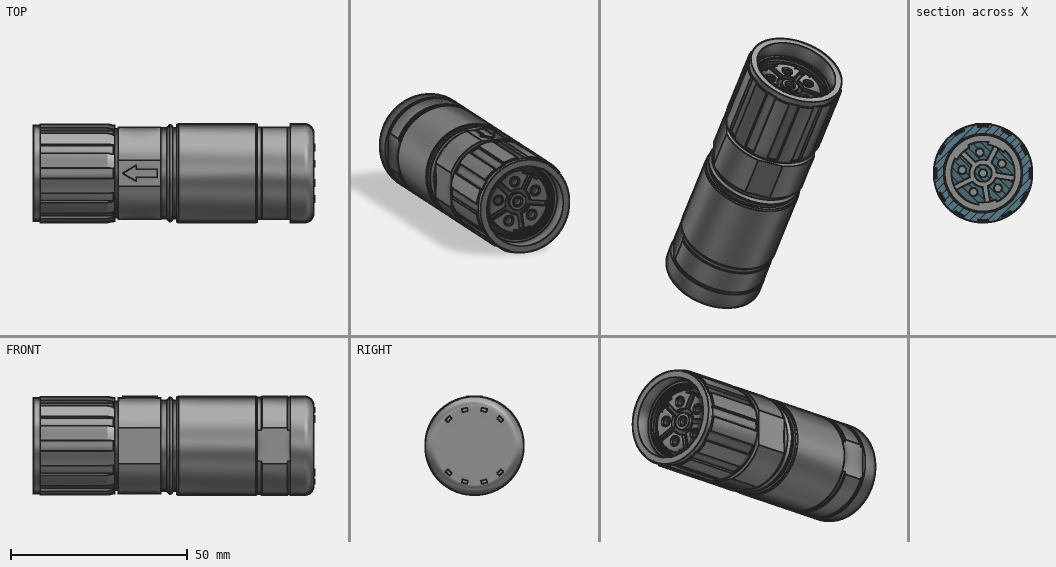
import cadquery as cq
import math

LENGTH = 79.5
BODY_RADIUS = 14.0

NUT_LENGTH = 23.05
NUT_COLLAR_LENGTH = 1.9
NUT_END_RADIUS = 13.5
NUT_TAPER_START = 21.0
GRIP_COUNT = 12
GRIP_FLOOR_RADIUS = 13.2
GRIP_FLOOR_WIDTH = 2.8
GRIP_MOUTH_WIDTH = 3.1
GRIP_END = 22.6
MOUTH_RADIUS = 11.6
MOUTH_DEPTH = 4.8
NUT_BORE_RADIUS = 10.8
THREAD_RADIUS = 11.3
THREAD_PITCH = 1.0
THREAD_START = MOUTH_DEPTH + THREAD_PITCH / 2
THREAD_COUNT = 5

INSERT_FACE = 5.6
INSERT_BASE = 6.8
INSERT_ROOT = 11.1
INSERT_RADIUS = 9.0
HUB_RADIUS = 3.8
BOSS_RADIUS = 2.5
POLE_COUNT = 5
POLE_STEP = 360 / POLE_COUNT
POLE_CIRCLE_RADIUS = 6.0
FIRST_POLE_ANGLE = 9.0
FIRST_SPOKE_ANGLE = FIRST_POLE_ANGLE + POLE_STEP / 2
SPOKE_WIDTH = 1.4
KEYED_SPOKES = (0, 1, 3)
KEY_RADIUS = 8.3
KEY_ANGLE = 34.0
SOCKET_RADIUS = 1.1
SOCKET_MOUTH_RADIUS = 1.5
SOCKET_DEPTH = 4.8

NECK_RADIUS = 12.65
WRENCH_START = 24.0
WRENCH_END = 36.0
SIDE_FLAT = 13.0
TOP_FLAT = 13.5
SEAL_LAND_RADIUS = 12.9
SEAL_X = 38.55
SEAL_HALF_WIDTH = 0.8
SLEEVE_START = 40.55
SLEEVE_END = 63.3
SLEEVE_CHAMFER_LENGTH = 0.5
SLEEVE_CHAMFER_DEPTH = 0.3
RELIEF_RADIUS = 13.75
REAR_WRENCH_START = 64.4
REAR_WRENCH_END = 71.95
CAP_START = 72.7
CAP_ROUND_RADIUS = 2.8
MARK_HEIGHT = 0.2
CAP_END = LENGTH - MARK_HEIGHT

ARROW_TIP = 25.3
ARROW_NECK = 29.0
ARROW_TAIL = 35.0
ARROW_HEAD_HALF = 2.2
ARROW_SHAFT_HALF = 1.1

MARK_CIRCLE_RADIUS = 10.5
MARK_ANGLES = (46.0, 75.0)
MARK_WIDTH = 1.6
MARK_RADIAL = 0.95


def cylinder(radius, start, end):
    """Cylinder on the X axis between two X positions."""
    return cq.Workplane("YZ", origin=(start, 0, 0)).circle(radius).extrude(end - start)


def ring(outer, inner, start, end):
    """Tube on the X axis between two X positions."""
    return cylinder(outer, start, end).cut(cylinder(inner, start, end))


def at_angle(shape, angle):
    """Turn a shape about the X axis, counting from +Y towards +Z."""
    return shape.rotate((0, 0, 0), (1, 0, 0), angle)


def revolved(profile):
    """Solid of revolution about X from an (x, radius) outline."""
    return profile.close().revolve(360, (0, 0, 0), (1, 0, 0))


def grip_groove():
    """Slant-sided groove on the +Y side; its floor follows a cylinder."""
    overrun = 0.8
    outside = BODY_RADIUS + overrun
    side_slope = (GRIP_MOUTH_WIDTH - GRIP_FLOOR_WIDTH) / 2 / (BODY_RADIUS - GRIP_FLOOR_RADIUS)
    floor_half = GRIP_FLOOR_WIDTH / 2
    inside = GRIP_FLOOR_RADIUS - overrun
    inside_half = floor_half - side_slope * overrun
    outside_half = floor_half + side_slope * (outside - GRIP_FLOOR_RADIUS)
    wedge = (
        cq.Workplane("YZ", origin=(NUT_COLLAR_LENGTH, 0, 0))
        .polyline(
            [
                (inside, -inside_half),
                (outside, -outside_half),
                (outside, outside_half),
                (inside, inside_half),
            ]
        )
        .close()
        .extrude(GRIP_END - NUT_COLLAR_LENGTH)
    )
    return wedge.cut(cylinder(GRIP_FLOOR_RADIUS, 0, NUT_LENGTH))


def thread_groove(start):
    """V-shaped ring groove in the nut bore, one pitch wide."""
    return revolved(
        cq.Workplane("XY")
        .moveTo(start, NUT_BORE_RADIUS)
        .lineTo(start + THREAD_PITCH / 2, THREAD_RADIUS)
        .lineTo(start + THREAD_PITCH, NUT_BORE_RADIUS)
    )


def make_coupling_nut():
    nut = revolved(
        cq.Workplane("XY")
        .moveTo(0, MOUTH_RADIUS)
        .lineTo(0, NUT_END_RADIUS)
        .lineTo(NUT_COLLAR_LENGTH, NUT_END_RADIUS)
        .lineTo(NUT_COLLAR_LENGTH, BODY_RADIUS)
        .lineTo(NUT_TAPER_START, BODY_RADIUS)
        .lineTo(NUT_LENGTH, NUT_END_RADIUS)
        .lineTo(NUT_LENGTH, NUT_BORE_RADIUS)
        .lineTo(MOUTH_DEPTH, NUT_BORE_RADIUS)
        .lineTo(MOUTH_DEPTH, MOUTH_RADIUS)
    )
    groove = grip_groove()
    for i in range(GRIP_COUNT):
        nut = nut.cut(at_angle(groove, i * 360 / GRIP_COUNT))
    for i in range(THREAD_COUNT):
        nut = nut.cut(thread_groove(THREAD_START + i * THREAD_PITCH))
    return nut


def key_notch():
    """Sector of the insert rim around +Y, between the key and insert radii."""
    reach = 2 * INSERT_RADIUS
    half = math.radians(KEY_ANGLE / 2)
    y, z = reach * math.cos(half), reach * math.sin(half)
    sector = (
        cq.Workplane("YZ", origin=(INSERT_FACE, 0, 0))
        .polyline([(0, 0), (y, -z), (y, z)])
        .close()
        .extrude(INSERT_ROOT - INSERT_FACE)
    )
    return sector.cut(cylinder(KEY_RADIUS, INSERT_FACE, INSERT_ROOT))


def socket():
    """Contact hole on the X axis with a conical mouth at the insert face."""
    lead_in = SOCKET_MOUTH_RADIUS - SOCKET_RADIUS
    return revolved(
        cq.Workplane("XY")
        .moveTo(INSERT_FACE, 0)
        .lineTo(INSERT_FACE, SOCKET_MOUTH_RADIUS)
        .lineTo(INSERT_FACE + lead_in, SOCKET_RADIUS)
        .lineTo(INSERT_FACE + SOCKET_DEPTH, SOCKET_RADIUS)
        .lineTo(INSERT_FACE + SOCKET_DEPTH, 0)
    )


def make_insert():
    """Insert with five raised pole pads around a central boss."""
    insert = cylinder(INSERT_RADIUS, INSERT_FACE, INSERT_ROOT)
    insert = insert.cut(ring(HUB_RADIUS, BOSS_RADIUS, INSERT_FACE, INSERT_BASE))
    spoke = cq.Workplane("XY").box(
        INSERT_BASE - INSERT_FACE,
        INSERT_RADIUS,
        SPOKE_WIDTH,
        centered=(False, False, True),
    )
    spoke = spoke.translate((INSERT_FACE, (HUB_RADIUS + BOSS_RADIUS) / 2, 0))
    hole = socket()
    pole_hole = hole.translate((0, POLE_CIRCLE_RADIUS, 0))
    insert = insert.cut(hole)
    for i in range(POLE_COUNT):
        insert = insert.cut(at_angle(spoke, FIRST_SPOKE_ANGLE + i * POLE_STEP))
        insert = insert.cut(at_angle(pole_hole, FIRST_POLE_ANGLE + i * POLE_STEP))
    notch = key_notch()
    for i in KEYED_SPOKES:
        insert = insert.cut(at_angle(notch, FIRST_SPOKE_ANGLE + i * POLE_STEP))
    return insert


def trimmed(round_part, start, end, side_flat, top_flat):
    """Round part trimmed by flats on its Y sides and on its Z sides."""
    block = cq.Workplane("XY").box(
        end - start, 2 * side_flat, 2 * top_flat, centered=(False, True, True)
    )
    return round_part.intersect(block.translate((start, 0, 0)))


def make_front_wrench():
    """Wrench section with two side flats and narrower top and bottom flats."""
    round_part = cylinder(BODY_RADIUS, WRENCH_START, WRENCH_END)
    return trimmed(round_part, WRENCH_START, WRENCH_END, SIDE_FLAT, TOP_FLAT)


def make_seal_bead():
    """Bead on the seal land: conical at the front, rounded at the rear."""
    rear = SEAL_X + SEAL_HALF_WIDTH
    shoulder = SEAL_HALF_WIDTH * math.sqrt(0.5)
    return revolved(
        cq.Workplane("XY")
        .moveTo(SEAL_X - SEAL_HALF_WIDTH, 0)
        .lineTo(SEAL_X - SEAL_HALF_WIDTH, SEAL_LAND_RADIUS)
        .lineTo(SEAL_X, SEAL_LAND_RADIUS + SEAL_HALF_WIDTH)
        .threePointArc(
            (SEAL_X + shoulder, SEAL_LAND_RADIUS + shoulder),
            (rear, SEAL_LAND_RADIUS),
        )
        .lineTo(rear, 0)
    )


def make_sleeve():
    edge_radius = BODY_RADIUS - SLEEVE_CHAMFER_DEPTH
    return revolved(
        cq.Workplane("XY")
        .moveTo(SLEEVE_START, 0)
        .lineTo(SLEEVE_START, edge_radius)
        .lineTo(SLEEVE_START + SLEEVE_CHAMFER_LENGTH, BODY_RADIUS)
        .lineTo(SLEEVE_END - SLEEVE_CHAMFER_LENGTH, BODY_RADIUS)
        .lineTo(SLEEVE_END, edge_radius)
        .lineTo(SLEEVE_END, 0)
    )


def make_rear_wrench():
    """Two-flat wrench section with a relief groove at each end."""
    round_part = cylinder(RELIEF_RADIUS, SLEEVE_END, CAP_START).union(
        cylinder(BODY_RADIUS, REAR_WRENCH_START, REAR_WRENCH_END)
        .edges()
        .chamfer(BODY_RADIUS - RELIEF_RADIUS)
    )
    return trimmed(round_part, SLEEVE_END, CAP_START, SIDE_FLAT, BODY_RADIUS)


def make_cap():
    return cylinder(BODY_RADIUS, CAP_START, CAP_END).faces(">X").edges().fillet(CAP_ROUND_RADIUS)


def make_rear_marks():
    """Low raised marks, mirrored to all four quarters of the rear face."""
    mark = cq.Workplane("XY").box(
        MARK_HEIGHT, MARK_RADIAL, MARK_WIDTH, centered=(False, True, True)
    )
    mark = mark.translate((CAP_END, MARK_CIRCLE_RADIUS, 0))
    marks = cq.Workplane("XY")
    for angle in MARK_ANGLES:
        for turned in (angle, 180 - angle, 180 + angle, -angle):
            marks = marks.add(at_angle(mark, turned))
    return marks


def make_arrow():
    """Arrow on the top flat, pointing to the mating end."""
    return (
        cq.Workplane("XY", origin=(0, 0, TOP_FLAT))
        .polyline(
            [
                (ARROW_TIP, 0),
                (ARROW_NECK, -ARROW_HEAD_HALF),
                (ARROW_NECK, -ARROW_SHAFT_HALF),
                (ARROW_TAIL, -ARROW_SHAFT_HALF),
                (ARROW_TAIL, ARROW_SHAFT_HALF),
                (ARROW_NECK, ARROW_SHAFT_HALF),
                (ARROW_NECK, ARROW_HEAD_HALF),
            ]
        )
        .close()
        .extrude(BODY_RADIUS - TOP_FLAT)
    )


def make_connector_body():
    body = make_insert()
    body = body.union(cylinder(NUT_BORE_RADIUS, INSERT_ROOT, NUT_LENGTH))
    body = body.union(cylinder(NECK_RADIUS, NUT_LENGTH, WRENCH_START))
    body = body.union(make_front_wrench())
    body = body.union(make_arrow())
    body = body.union(cylinder(SEAL_LAND_RADIUS, WRENCH_END, SLEEVE_START))
    body = body.union(make_seal_bead())
    body = body.union(make_sleeve())
    body = body.union(make_rear_wrench())
    body = body.union(make_cap())
    for mark in make_rear_marks().vals():
        body = body.union(cq.Workplane(mark))
    return body


coupling_nut = make_coupling_nut()
connector_body = make_connector_body()

result = cq.Compound.makeCompound([coupling_nut.val(), connector_body.val()])